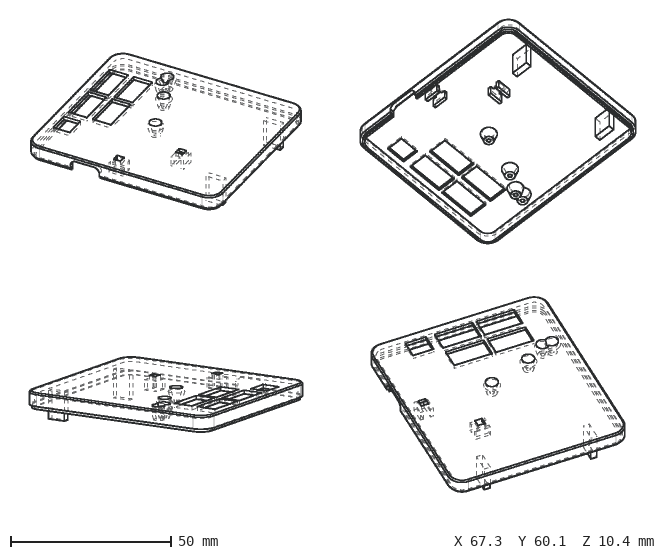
import cadquery as cq

length = 67.3
width = 60.1
total_height = 10.4
corner_radius = 4.8
edge_chamfer = 0.5
top_thickness = 1.2
wall_thickness = 1.5
body_depth = 4.4
lip_inset = 0.8
lip_depth = 5.45

left = -length / 2
rear = width / 2

window_length = 6.5
window_width = 13.0
window_columns = (6.7, 15.3)
window_rows = (17.5, 31.75)
small_window_length = 5.85
small_window_width = 7.1
small_window_place = (6.3, 44.7)

funnel_depth = 4.5
funnel_top_diameter = 6.0
funnel_bottom_diameter = 3.2
funnel_bore_top = 4.05
funnel_bore_bottom = 1.2
funnel_places = ((21.2, 6.05), (21.2, 9.2), (25.25, 15.95), (30.2, 30.6))

square_hole = 2.4
guide_wall = 1.0
guide_length = 5.0
guide_depth = funnel_depth
front_hole_place = (29.75, 53.85)
right_hole_place = (44.95, 41.25)

notch_width = 10.2
notch_center = 21.0
notch_top = 1.5
notch_arc_run = 2.0
notch_arc_drop = 1.55

tab_length = 6.0
tab_width = 2.0
tab_places = ((61.5, 11.05), (60.45, 47.1))


def place(from_left, from_rear):
    """Plate coordinates of a point measured from the left and rear sides."""
    return (left + from_left, rear - from_rear)


def block(center, size_x, size_y, z_top, z_bottom):
    """Upright rectangular block between two heights."""
    x, y = center
    return (
        cq.Workplane("XY", origin=(x, y, z_bottom))
        .rect(size_x, size_y)
        .extrude(z_top - z_bottom)
    )


def rounded_block(inset, z_top, z_bottom):
    """Block following the cover outline, moved inwards by inset."""
    blank = block((0, 0), length - 2 * inset, width - 2 * inset, z_top, z_bottom)
    return blank.edges("|Z").fillet(corner_radius - inset)


def cone(center, top_diameter, bottom_diameter):
    """Solid cone hanging from the top face down to the funnel tip."""
    x, y = center
    return (
        cq.Workplane("XY", origin=(x, y, 0))
        .circle(top_diameter / 2)
        .workplane(offset=-funnel_depth)
        .circle(bottom_diameter / 2)
        .loft(ruled=True)
    )


def make_shell():
    """Chamfered cover with a stepped lip and an open underside."""
    body = rounded_block(0, 0, -body_depth).faces(">Z").edges().chamfer(edge_chamfer)
    lip = rounded_block(lip_inset, -body_depth, -lip_depth)
    cavity = rounded_block(wall_thickness, -top_thickness, -lip_depth)
    return body.union(lip).cut(cavity)


def make_notch():
    """Opening through the front wall, with arcs easing the flat top into the sides."""
    half_width = notch_width / 2
    half_flat = half_width - notch_arc_run
    shoulder = -notch_top - notch_arc_drop
    arc_radius = (notch_arc_run**2 + notch_arc_drop**2) / (2 * notch_arc_drop)
    return (
        cq.Workplane("XZ", origin=(left + notch_center, -width / 2 + wall_thickness, 0))
        .moveTo(-half_flat, -notch_top)
        .lineTo(half_flat, -notch_top)
        .radiusArc((half_width, shoulder), arc_radius)
        .lineTo(half_width, -lip_depth)
        .lineTo(-half_width, -lip_depth)
        .lineTo(-half_width, shoulder)
        .radiusArc((-half_flat, -notch_top), arc_radius)
        .close()
        .extrude(wall_thickness)
    )


result = make_shell().cut(make_notch())

for spot in funnel_places:
    result = result.union(cone(place(*spot), funnel_top_diameter, funnel_bottom_diameter))

guide_span = square_hole + 2 * guide_wall
front_guide = block(place(*front_hole_place), guide_length, guide_span, -top_thickness, -guide_depth)
right_guide = block(place(*right_hole_place), guide_span, guide_length, -top_thickness, -guide_depth)
result = result.union(front_guide).union(right_guide)

for spot in tab_places:
    result = result.union(block(place(*spot), tab_length, tab_width, -top_thickness, -total_height))

for spot in funnel_places:
    result = result.cut(cone(place(*spot), funnel_bore_top, funnel_bore_bottom))

for spot in (front_hole_place, right_hole_place):
    result = result.cut(block(place(*spot), square_hole, square_hole, 0, -top_thickness))

front_gap = block(place(*front_hole_place), guide_length, square_hole, -top_thickness, -guide_depth)
right_gap = block(place(*right_hole_place), square_hole, guide_length, -top_thickness, -guide_depth)
result = result.cut(front_gap).cut(right_gap)

for column in window_columns:
    for row in window_rows:
        result = result.cut(block(place(column, row), window_length, window_width, 0, -top_thickness))

result = result.cut(
    block(place(*small_window_place), small_window_length, small_window_width, 0, -top_thickness)
)